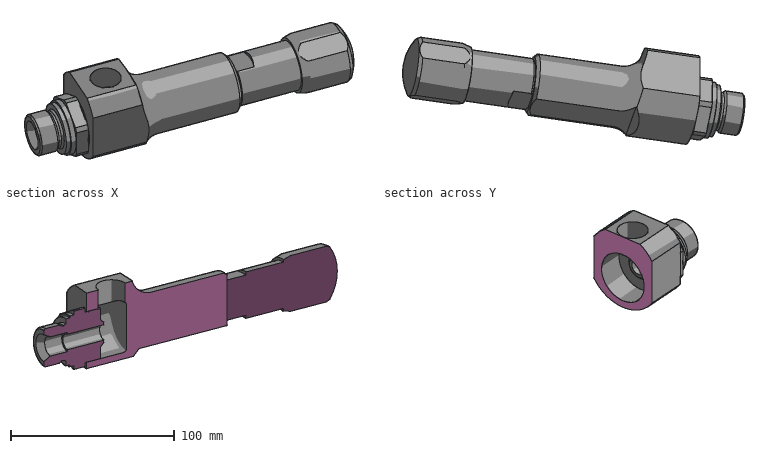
import cadquery as cq
import math


BLOCK_WIDTH = 46.0
BLOCK_TOP = 29.8
BLOCK_BOTTOM = -21.5
BLOCK_RADIUS = 27.5
SLEEVE_RADIUS = 19.0
SLEEVE_END = 101.5
SLEEVE_CHAMFER = 2.1
NECK_RADIUS = 14.4
NECK_END = 47.2
FLAT_BOTTOM = -17.3
FLAT_RAMP_START = 33.8
CHAMBER_RADIUS = 17.0
CHAMBER_END = 28.8
CHAMBER_FILLET = 2.3
PORT_RADIUS = 9.5
PORT_Y = 18.2

HEX_SIDES = 6
HEX_HALF_FLATS = 18.0
HEX_CORNER_RADIUS = 19.9
HEX_BACK = -0.8
HEX_FRONT = -8.9
COLLAR_RADIUS = 17.3
COLLAR_FRONT = -12.0
RING_RADIUS = 16.0
RING_FRONT = -14.8
GROOVE_RADIUS = 11.8
GROOVE_SHOULDER_RADIUS = 12.7
GROOVE_BACK = -16.3
GROOVE_FRONT = -17.8
THREAD_RADIUS = 13.1
THREAD_START = -19.2
NOSE_CHAMFER = 1.0
NOSE_FRONT = -30.7
SHANK_END = 10.4
TIP_END = 12.7
TIP_RADIUS = 9.3
FITTING_BORE_RADIUS = 5.0
MOUTH_RADIUS = 9.0
THROAT_RADIUS = 6.3
MOUTH_DEPTH = 4.7
THROAT_DEPTH = 17.0

STEM_RADIUS = 15.9
STEM_CHAMFER = 1.0
WRENCH_FLAT_HEIGHT = 13.7
WRENCH_FLAT_END = 114.8
WRENCH_FLAT_END_RADIUS = 24.3
CAP_START = 141.7
CAP_RIM_RADIUS = 17.5
CAP_CONE_END = 146.8
CAP_RADIUS = 19.0
CAP_BEVEL_START = 173.0
DOME_START = 175.3
DOME_EDGE_RADIUS = 17.8
CAP_TOP = 180.8
CAP_FLAT_DISTANCE = 18.0
CAP_FLAT_COUNT = 3
FIRST_CAP_FLAT_ANGLE = 60

CLEARANCE = 42.3


def revolve_about_y(profile):
    """Turn a closed profile, drawn as (radius, y), around the Y axis."""
    return profile.close().revolve(360, (0, 0, 0), (0, 1, 0))


def y_cylinder(radius, y_start, y_end):
    return cq.Workplane("XZ", origin=(0, y_start, 0)).circle(radius).extrude(y_start - y_end)


def block_prism():
    """Block section: a large circle cut by a flat on each side and on top."""
    circle_z = BLOCK_BOTTOM + BLOCK_RADIUS
    disc = cq.Workplane("XZ").center(0, circle_z).circle(BLOCK_RADIUS).extrude(-NECK_END)
    height = BLOCK_TOP - BLOCK_BOTTOM
    bounds = cq.Workplane("XY").box(BLOCK_WIDTH, 2 * NECK_END, height)
    return disc.intersect(bounds.translate((0, 0, (BLOCK_TOP + BLOCK_BOTTOM) / 2)))


def neck_envelope():
    """Turned shape that rounds the block down to the sleeve with a concave quarter circle."""
    shoulder_radius = SLEEVE_RADIUS + NECK_RADIUS
    shoulder_y = NECK_END - NECK_RADIUS
    middle = NECK_RADIUS * math.sqrt(0.5)
    profile = (
        cq.Workplane("XY")
        .lineTo(shoulder_radius, 0)
        .lineTo(shoulder_radius, shoulder_y)
        .threePointArc((shoulder_radius - middle, NECK_END - middle), (SLEEVE_RADIUS, NECK_END))
        .lineTo(0, NECK_END)
    )
    return revolve_about_y(profile)


def sleeve():
    profile = (
        cq.Workplane("XY")
        .moveTo(0, NECK_END)
        .lineTo(SLEEVE_RADIUS, NECK_END)
        .lineTo(SLEEVE_RADIUS, SLEEVE_END - SLEEVE_CHAMFER)
        .lineTo(SLEEVE_RADIUS - SLEEVE_CHAMFER, SLEEVE_END)
        .lineTo(0, SLEEVE_END)
    )
    return revolve_about_y(profile)


def underside_cutter():
    """Flat along the underside of the sleeve that runs out at 45 degrees into the block."""
    ramp_end = FLAT_RAMP_START + FLAT_BOTTOM - BLOCK_BOTTOM
    return (
        cq.Workplane("YZ", origin=(-CLEARANCE, 0, 0))
        .moveTo(ramp_end, FLAT_BOTTOM)
        .lineTo(ramp_end - CLEARANCE, FLAT_BOTTOM - CLEARANCE)
        .lineTo(SLEEVE_END, FLAT_BOTTOM - CLEARANCE)
        .lineTo(SLEEVE_END, FLAT_BOTTOM)
        .close()
        .extrude(2 * CLEARANCE)
    )


def chamber():
    """Blind bore open at the front face, with a rounded far end."""
    return y_cylinder(CHAMBER_RADIUS, 0, CHAMBER_END).edges(">Y").fillet(CHAMBER_FILLET)


def make_housing():
    port = cq.Workplane("XY").center(0, PORT_Y).circle(PORT_RADIUS).extrude(BLOCK_TOP)
    return (
        block_prism()
        .intersect(neck_envelope())
        .union(sleeve())
        .cut(underside_cutter())
        .cut(chamber())
        .cut(port)
    )


def fitting_hex():
    """Hexagon with two corners on the Z axis, its corners turned to a circle."""
    corner_diameter = 2 * HEX_HALF_FLATS / math.cos(math.pi / HEX_SIDES)
    hexagon = (
        cq.Workplane("XZ", origin=(0, HEX_BACK, 0))
        .transformed(rotate=(0, 0, 90))
        .polygon(HEX_SIDES, corner_diameter)
        .extrude(HEX_BACK - HEX_FRONT)
    )
    return hexagon.intersect(y_cylinder(HEX_CORNER_RADIUS, HEX_FRONT, HEX_BACK))


def fitting_turning():
    """Turned outline of the fitting, from the housing face to its nose."""
    profile = (
        cq.Workplane("XY")
        .lineTo(COLLAR_RADIUS, 0)
        .lineTo(COLLAR_RADIUS, COLLAR_FRONT)
        .lineTo(RING_RADIUS, COLLAR_FRONT)
        .lineTo(RING_RADIUS, RING_FRONT)
        .lineTo(GROOVE_SHOULDER_RADIUS, RING_FRONT)
        .lineTo(GROOVE_RADIUS, GROOVE_BACK)
        .lineTo(GROOVE_RADIUS, GROOVE_FRONT)
        .lineTo(THREAD_RADIUS, THREAD_START)
        .lineTo(THREAD_RADIUS, NOSE_FRONT + NOSE_CHAMFER)
        .lineTo(THREAD_RADIUS - NOSE_CHAMFER, NOSE_FRONT)
        .lineTo(0, NOSE_FRONT)
    )
    return revolve_about_y(profile)


def fitting_shank():
    """Plug that fills the front of the chamber and carries a short tip with a 45 degree taper."""
    taper = TIP_END - SHANK_END
    profile = (
        cq.Workplane("XY")
        .lineTo(CHAMBER_RADIUS, 0)
        .lineTo(CHAMBER_RADIUS, SHANK_END)
        .lineTo(TIP_RADIUS, SHANK_END)
        .lineTo(TIP_RADIUS - taper, TIP_END)
        .lineTo(0, TIP_END)
    )
    return revolve_about_y(profile)


def fitting_bore():
    """Through bore with a conical mouth and a wider throat that ends in a step."""
    profile = (
        cq.Workplane("XY")
        .moveTo(0, NOSE_FRONT)
        .lineTo(MOUTH_RADIUS, NOSE_FRONT)
        .lineTo(THROAT_RADIUS, NOSE_FRONT + MOUTH_DEPTH)
        .lineTo(THROAT_RADIUS, NOSE_FRONT + THROAT_DEPTH)
        .lineTo(FITTING_BORE_RADIUS, NOSE_FRONT + THROAT_DEPTH)
        .lineTo(FITTING_BORE_RADIUS, TIP_END)
        .lineTo(0, TIP_END)
    )
    return revolve_about_y(profile)


def make_fitting():
    return fitting_turning().union(fitting_shank()).union(fitting_hex()).cut(fitting_bore())


def bonnet_turning():
    """Turned outline of the bonnet: stem and domed cap."""
    dome_height = CAP_TOP - DOME_START
    dome_radius = (DOME_EDGE_RADIUS**2 + dome_height**2) / (2 * dome_height)
    half_angle = math.asin(DOME_EDGE_RADIUS / dome_radius) / 2
    dome_center_y = CAP_TOP - dome_radius
    dome_middle = (
        dome_radius * math.sin(half_angle),
        dome_center_y + dome_radius * math.cos(half_angle),
    )
    profile = (
        cq.Workplane("XY")
        .moveTo(0, SLEEVE_END)
        .lineTo(STEM_RADIUS - STEM_CHAMFER, SLEEVE_END)
        .lineTo(STEM_RADIUS, SLEEVE_END + STEM_CHAMFER)
        .lineTo(STEM_RADIUS, CAP_START)
        .lineTo(CAP_RIM_RADIUS, CAP_START)
        .lineTo(CAP_RADIUS, CAP_CONE_END)
        .lineTo(CAP_RADIUS, CAP_BEVEL_START)
        .lineTo(DOME_EDGE_RADIUS, DOME_START)
        .threePointArc(dome_middle, (0, CAP_TOP))
    )
    return revolve_about_y(profile)


def wrench_flat_cutter():
    """Round cutter above the upper wrench flat; it leaves an arc-shaped end wall towards the cap."""
    center_y = WRENCH_FLAT_END - WRENCH_FLAT_END_RADIUS
    flat = cq.Workplane("XY", origin=(0, center_y, WRENCH_FLAT_HEIGHT))
    return flat.circle(WRENCH_FLAT_END_RADIUS).extrude(STEM_RADIUS)


def cap_flat_cutter(angle):
    """Slab outside one cap flat, whose normal is at the given angle from +X towards +Z."""
    length = CAP_TOP - CAP_START
    slab = cq.Workplane("XY").box(CAP_RADIUS, length, 2 * CAP_RADIUS)
    slab = slab.translate((CAP_FLAT_DISTANCE + CAP_RADIUS / 2, CAP_START + length / 2, 0))
    return slab.rotate((0, 0, 0), (0, 1, 0), -angle)


def make_bonnet():
    bonnet = bonnet_turning()
    upper_cutter = wrench_flat_cutter()
    bonnet = bonnet.cut(upper_cutter).cut(upper_cutter.mirror("XY"))
    for index in range(CAP_FLAT_COUNT):
        angle = FIRST_CAP_FLAT_ANGLE + index * 360 / CAP_FLAT_COUNT
        bonnet = bonnet.cut(cap_flat_cutter(angle))
    return bonnet


housing = make_housing()
fitting = make_fitting()
bonnet = make_bonnet()

result = cq.Compound.makeCompound([housing.val(), fitting.val(), bonnet.val()])